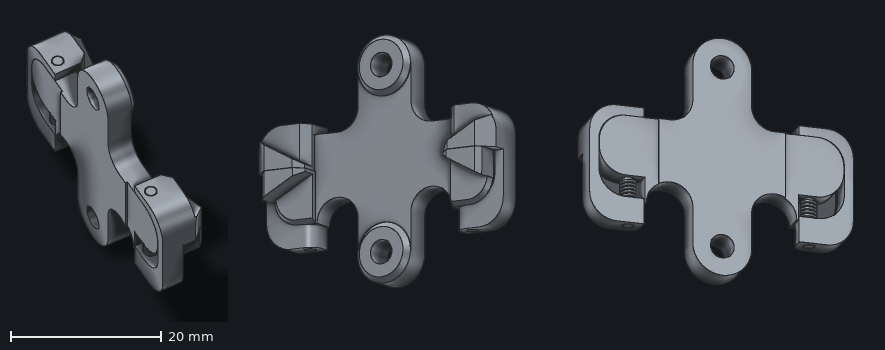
import cadquery as cq
import math

bar_half_width = 4.13
eye_offset = 12.7
eye_hole_diameter = 3.3
arm_half_height = 4.43
arm_end = 17.12
end_radius = 3.75
corner_radius = 3.2
pad_half_width = 8.85
pad_height = 0.3
plate_back = 3.54
eye_boss_height = 0.84
eye_boss_chamfer = 0.72

paddle_bottom = -4.04
guide_wall = 10.77
web_back = 4.25
web_bottom = -(arm_half_height + corner_radius)
web_chamfer = 0.65

slider_outer = 18.48
slider_inner = 10.87
slider_top = 5.8
slider_bottom = -10.7
slider_back = 3.43
slider_upper_back = 5.49
slot_outer = 17.2
slot_bottom = -7.1
slot_floor = 3.6
rear_radius = 1.65

jaw_back = 7.37
jaw_split = -0.52
jaw_gap = 0.04
jaw_crest = 16.44
jaw_crest_height = 3.5
jaw_taper = math.tan(math.radians(28))
jaw_inner_chamfer = 1.22

pin_x = 12.69
pin_y = 1.74
guide_radius = pin_x - guide_wall
guide_floor = pin_y + guide_radius
pin_radius = 0.74
pin_hole_radius = 0.82
spring_outer_radius = 1.12
spring_wire = 0.34
spring_coils = 5.5


def box(x0, x1, y0, y1, z0, z1):
    return cq.Workplane("XY").box(x1 - x0, y1 - y0, z1 - z0, centered=False).translate((x0, y0, z0))


def post(x, y, radius, z0, z1):
    """Round bar along Z."""
    return cq.Workplane("XY", origin=(x, y, z0)).circle(radius).extrude(z1 - z0)


def front_disc(x, z, radius, y0, y1):
    """Round bar along Y."""
    return cq.Workplane("XZ", origin=(x, y0, z)).circle(radius).extrude(y0 - y1)


def jaw_prism(outer, inner, direction):
    """Left-hand jaw rising (direction 1) or falling (-1) from the split, tapering toward the middle."""
    def edge_height(x):
        return jaw_crest_height + jaw_taper * (x - jaw_crest)

    base = jaw_split if direction > 0 else jaw_split - jaw_gap
    split_side = [(-outer, base), (-inner, base)]
    tapered_side = [(-x, jaw_split + direction * edge_height(x)) for x in (inner, outer)]
    taper = (cq.Workplane("XZ", origin=(0, plate_back, 0))
             .polyline(split_side + tapered_side).close().extrude(plate_back - jaw_back))

    outer_slope_y = jaw_back - (outer - jaw_crest)
    profile = [
        (-outer, plate_back),
        (-outer, outer_slope_y),
        (-jaw_crest, jaw_back),
        (-inner - jaw_inner_chamfer, jaw_back),
        (-inner, jaw_back - jaw_inner_chamfer),
        (-inner, plate_back),
    ]
    sloped = (cq.Workplane("XY", origin=(0, 0, slider_bottom)).polyline(profile).close()
              .extrude(slider_top - slider_bottom))
    return taper.intersect(sloped)


def mirrored(left):
    return left.mirror("YZ")


def make_cross():
    """Bar and arm with round concave corners; the arm is set back behind the pad."""
    cross = box(-bar_half_width, bar_half_width, 0, plate_back, -eye_offset, eye_offset)
    for end in (-1, 1):
        cross = cross.union(front_disc(0, end * eye_offset, bar_half_width, 0, plate_back))
    corner_z = arm_half_height + corner_radius
    corner_x = bar_half_width + corner_radius
    cross = cross.union(box(-corner_x, corner_x, 0, plate_back, -corner_z, corner_z))
    cross = cross.union(box(-pad_half_width, pad_half_width, 0, plate_back, -corner_z, arm_half_height))
    cross = cross.union(box(-guide_wall, guide_wall, pad_height, plate_back, -corner_z, arm_half_height))
    for x in (-corner_x, corner_x):
        for z in (-corner_z, corner_z):
            cross = cross.cut(front_disc(x, z, corner_radius, 0, plate_back))
    return cross


def add_eye(plate, z):
    boss = front_disc(0, z, bar_half_width, plate_back, plate_back + eye_boss_height)
    boss = boss.faces(">Y").chamfer(eye_boss_chamfer)
    hole = front_disc(0, z, eye_hole_diameter / 2, 0, plate_back + eye_boss_height)
    return plate.union(boss).cut(hole)


def web_blank(back):
    """Rear wall of the guide with a round lower outer corner."""
    blank = box(-arm_end, -guide_wall, plate_back, back, web_bottom, jaw_split - jaw_gap)
    return blank.edges("|Y and <X and <Z").fillet(end_radius)


def paddle_blank(back):
    blank = box(-arm_end, -guide_wall, pad_height, back, paddle_bottom, arm_half_height)
    return blank.edges("|Y and <X").fillet(end_radius)


def make_guide():
    """Left-hand end of the arm: paddle, rear web, lower jaw and guide pocket."""
    paddle = paddle_blank(plate_back)
    web = web_blank(web_back)
    web = web.faces(">Y").edges("not(>X or >Z)").chamfer(web_chamfer)
    jaw = jaw_prism(arm_end, guide_wall, -1).intersect(web_blank(jaw_back))

    cheek = box(-pin_x, -guide_wall, pin_y, plate_back, web_bottom, paddle_bottom)
    pocket = box(-arm_end, -pin_x, pad_height, guide_floor, web_bottom, jaw_split - jaw_gap)
    pocket = pocket.union(post(-pin_x, pin_y, guide_radius, web_bottom, paddle_bottom))
    pocket = pocket.cut(paddle_blank(guide_floor))
    pin_hole = post(-pin_x, pin_y, pin_hole_radius, paddle_bottom, arm_half_height)
    return paddle.union(web).union(jaw).union(cheek).cut(pocket).cut(pin_hole)


def make_plate():
    plate = make_cross()
    for end in (-1, 1):
        plate = add_eye(plate, end * eye_offset)
    guide = make_guide()
    return plate.union(guide).union(mirrored(guide))


def make_slider():
    """Left-hand slider: frame around the paddle, thick upper part and upper jaw."""
    blank = box(-slider_outer, -slider_inner, pad_height, jaw_back, slider_bottom, slider_top)
    blank = blank.edges("|Y and <X").fillet(end_radius)

    lower = box(-slider_outer, -slider_inner, pad_height, slider_back, slider_bottom, slider_top)
    upper = box(-slider_outer, -slider_inner, pad_height, slider_upper_back, jaw_split, slider_top)
    upper = upper.edges(">X and >Y").chamfer(jaw_inner_chamfer)
    outer_slope = (cq.Workplane("XY", origin=(0, 0, slider_bottom))
                   .polyline([(-slider_outer, jaw_back - (slider_outer - jaw_crest)),
                              (-slider_outer, jaw_back), (-jaw_crest, jaw_back)]).close()
                   .extrude(slider_top - slider_bottom))
    jaw = jaw_prism(slider_outer, slider_inner, 1)
    slider = lower.union(upper).union(jaw).intersect(blank).cut(outer_slope)

    slot = box(-slot_outer, 0, pad_height, slot_floor, slot_bottom, arm_half_height)
    slot = slot.edges("|Y and <X").fillet(end_radius)
    slider = slider.cut(slot)

    pick_margin = 0.1
    rear_corner = cq.selectors.BoxSelector(
        (-slider_inner - pick_margin, slider_back - pick_margin, slider_bottom),
        (-slider_inner + pick_margin, slider_back + pick_margin, slot_bottom))
    slider = slider.edges("|Z").edges(rear_corner).fillet(rear_radius)
    return slider.cut(post(-pin_x, pin_y, pin_hole_radius, slider_bottom, slider_top))


def make_pin():
    return post(-pin_x, pin_y, pin_radius, slider_bottom, slider_top)


def make_spring():
    """Coil spring between the paddle and the bottom of the slider's slot."""
    coil_radius = spring_outer_radius - spring_wire / 2
    height = paddle_bottom - slot_bottom - spring_wire
    helix = cq.Wire.makeHelix(height / spring_coils, height, coil_radius)
    coil = cq.Workplane("XZ", origin=(coil_radius, 0, 0)).circle(spring_wire / 2).sweep(helix, isFrenet=True)
    return coil.translate((-pin_x, pin_y, slot_bottom + spring_wire / 2))


bodies = [make_plate().solids().val()]
for make_body in (make_slider, make_pin, make_spring):
    left_body = make_body()
    right_body = mirrored(left_body)
    bodies.append(left_body.solids().val())
    bodies.append(right_body.solids().val())

result = cq.Compound.makeCompound(bodies)